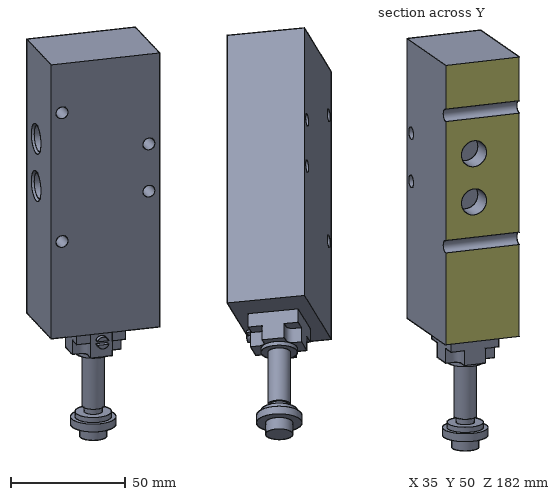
import cadquery as cq

TOTAL_HEIGHT = 182
HOUSING_X = 35.0
HOUSING_Y = 50.0
HOUSING_BOTTOM = 54.0

HOLE_GROUP_Z = 129.0
PORT_DIAMETER = 11.6
PORT_MOUTH_DIAMETER = 13.6
PORT_DEPTH = 15.0
PORT_X = -4.0
PORT_PITCH = 22.0
MOUNT_DIAMETER = 5.5
MOUNT_Y = 20
FRONT_MOUNT_PITCH = 60
BACK_MOUNT_PITCH = PORT_PITCH

HEAD_SIZE = 22.5
HEAD_BOTTOM = 41.0
NOTCH_TOP = 47.7
ARM_WIDTH = 10.0
NOTCH_RADIUS = 3.0
PAD_THICKNESS = 0.5

STUD_DIAMETER = 5.5
STUD_LENGTH = 2.4
STUD_Z = 48.2
STUD_SLOT = 1.6

STEM_STEPS = [
    (16.0, 39.1),
    (10.0, 14.2),
    (8.0, 11.5),
    (16.0, 9.1),
    (20, 5.5),
    (12.0, 0),
]


def box_from(size_x, size_y, bottom, top):
    """Box centred on the Z axis between two heights."""
    return (
        cq.Workplane("XY").workplane(offset=bottom)
        .rect(size_x, size_y).extrude(top - bottom)
    )


def make_port(z):
    """Cutter for a blind port with a chamfered mouth on the -Y face."""
    chamfer = (PORT_MOUTH_DIAMETER - PORT_DIAMETER) / 2
    inward = cq.Vector(0, 1, 0)
    mouth = cq.Vector(PORT_X, -HOUSING_Y / 2, z)
    bore = cq.Solid.makeCylinder(PORT_DIAMETER / 2, PORT_DEPTH, mouth, inward)
    cone = cq.Solid.makeCone(PORT_MOUTH_DIAMETER / 2, PORT_DIAMETER / 2, chamfer, mouth, inward)
    return bore.fuse(cone)


def make_housing():
    housing = box_from(HOUSING_X, HOUSING_Y, HOUSING_BOTTOM, TOTAL_HEIGHT)
    for side in (-1, 1):
        housing = housing.cut(cq.Workplane(make_port(HOLE_GROUP_Z + side * PORT_PITCH / 2)))

    for y, pitch in ((-MOUNT_Y, FRONT_MOUNT_PITCH), (MOUNT_Y, BACK_MOUNT_PITCH)):
        centres = [(y, HOLE_GROUP_Z + side * pitch / 2) for side in (-1, 1)]
        holes = (
            cq.Workplane("YZ").pushPoints(centres)
            .circle(MOUNT_DIAMETER / 2).extrude(HOUSING_X / 2, both=True)
        )
        housing = housing.cut(holes)
    return housing


def make_head():
    """Square block above a cross whose inner corners are rounded."""
    block = box_from(HEAD_SIZE, HEAD_SIZE, NOTCH_TOP, HOUSING_BOTTOM)
    cross = box_from(HEAD_SIZE, ARM_WIDTH, HEAD_BOTTOM, NOTCH_TOP)
    cross = cross.union(box_from(ARM_WIDTH, HEAD_SIZE, HEAD_BOTTOM, NOTCH_TOP))
    inner = ARM_WIDTH + NOTCH_RADIUS
    inner_corners = cq.selectors.BoxSelector(
        (-inner / 2, -inner / 2, HEAD_BOTTOM), (inner / 2, inner / 2, NOTCH_TOP)
    )
    cross = cross.edges("|Z").edges(inner_corners).fillet(NOTCH_RADIUS)
    pad_reach = HEAD_SIZE / 2 + PAD_THICKNESS
    pad = box_from(pad_reach, ARM_WIDTH, HEAD_BOTTOM, HOUSING_BOTTOM).translate((pad_reach / 2, 0, 0))
    return block.union(cross).union(pad)


def make_stud():
    """Round stud along +X, split by a slot along Y."""
    stud = (
        cq.Workplane("YZ", origin=(HEAD_SIZE / 2 + PAD_THICKNESS, 0, STUD_Z))
        .circle(STUD_DIAMETER / 2).extrude(STUD_LENGTH)
    )
    slot = (
        cq.Workplane("YZ", origin=(HEAD_SIZE / 2 + PAD_THICKNESS, 0, STUD_Z))
        .rect(STUD_DIAMETER, STUD_SLOT).extrude(STUD_LENGTH)
    )
    return stud.cut(slot)


def make_operator():
    operator = make_head().union(make_stud())
    top = HEAD_BOTTOM
    for diameter, bottom in STEM_STEPS:
        step = cq.Workplane("XY").workplane(offset=bottom).circle(diameter / 2).extrude(top - bottom)
        operator = operator.union(step)
        top = bottom
    return operator


housing = make_housing()
operator = make_operator()

result = cq.Compound.makeCompound([housing.val(), operator.val()])